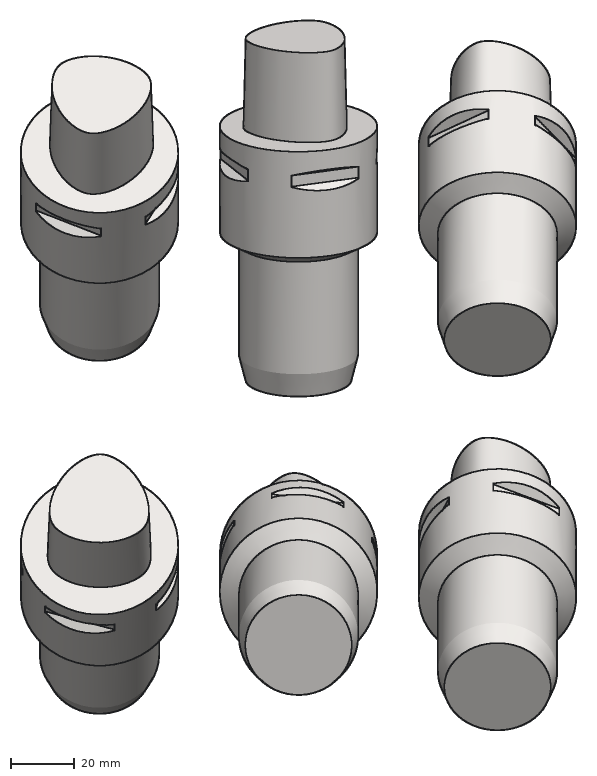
import cadquery as cq
import math

TOTAL_HEIGHT = 115.0
COLLAR_TOP = 85.1
COLLAR_BOTTOM = 49.5
SHANK_TOP = 46.0
NOSE_HEIGHT = 8.3

COLLAR_RADIUS = 50.0 / 2
SHANK_RADIUS = 38.0 / 2
NOSE_END_RADIUS = 16.9

POLYGON_BASE_RADIUS = 16.5
POLYGON_TOP_RADIUS = 15.8
LOBE_HEIGHT = 1.2
LOBE_COUNT = 3
OUTLINE_POINTS = 72

NOTCH_COUNT = 4
NOTCH_FIRST_ANGLE = 45.0
NOTCH_CENTER_HEIGHT = 75.1
NOTCH_FLOOR_DISTANCE = 22.0
NOTCH_LENGTH = 23.0
NOTCH_FLOOR_HEIGHT = 3.7
NOTCH_MOUTH_HEIGHT = 6.9


def round_body():
    """Collar, shank and tapered nose, revolved about Z."""
    return (
        cq.Workplane("XZ")
        .lineTo(NOSE_END_RADIUS, 0)
        .lineTo(SHANK_RADIUS, NOSE_HEIGHT)
        .lineTo(SHANK_RADIUS, SHANK_TOP)
        .lineTo(COLLAR_RADIUS, COLLAR_BOTTOM)
        .lineTo(COLLAR_RADIUS, COLLAR_TOP)
        .lineTo(0, COLLAR_TOP)
        .close()
        .revolve(360, (0, 0), (0, 1))
    )


def polygon_outline(mean_radius, height):
    """Closed constant-width curve with one lobe toward +Y, starting on -Y.

    The tangent at each angle lies at a distance from the axis that swings by
    LOBE_HEIGHT either side of mean_radius.
    """

    def point(fraction):
        angle = 2 * math.pi * fraction - math.pi / 2
        phase = LOBE_COUNT * (angle - math.pi / 2)
        distance = mean_radius + LOBE_HEIGHT * math.cos(phase)
        slope = -LOBE_COUNT * LOBE_HEIGHT * math.sin(phase)
        return cq.Vector(
            distance * math.cos(angle) - slope * math.sin(angle),
            distance * math.sin(angle) + slope * math.cos(angle),
            height,
        )

    points = [point(i / OUTLINE_POINTS) for i in range(OUTLINE_POINTS)]
    return cq.Wire.assembleEdges([cq.Edge.makeSpline(points, periodic=True)])


def polygon_shank():
    base = polygon_outline(POLYGON_BASE_RADIUS, COLLAR_TOP)
    top = polygon_outline(POLYGON_TOP_RADIUS, TOTAL_HEIGHT)
    return cq.Workplane(cq.Solid.makeLoft([base, top], True))


def gripper_notch():
    """Straight flared groove in the +X side of the collar."""
    floor_half = NOTCH_FLOOR_HEIGHT / 2
    mouth_half = NOTCH_MOUTH_HEIGHT / 2
    return (
        cq.Workplane("XZ")
        .polyline([
            (NOTCH_FLOOR_DISTANCE, NOTCH_CENTER_HEIGHT - floor_half),
            (COLLAR_RADIUS, NOTCH_CENTER_HEIGHT - mouth_half),
            (COLLAR_RADIUS, NOTCH_CENTER_HEIGHT + mouth_half),
            (NOTCH_FLOOR_DISTANCE, NOTCH_CENTER_HEIGHT + floor_half),
        ])
        .close()
        .extrude(NOTCH_LENGTH / 2, both=True)
    )


result = round_body().union(polygon_shank())
for index in range(NOTCH_COUNT):
    notch_angle = NOTCH_FIRST_ANGLE + index * 360 / NOTCH_COUNT
    result = result.cut(gripper_notch().rotate((0, 0, 0), (0, 0, 1), notch_angle))